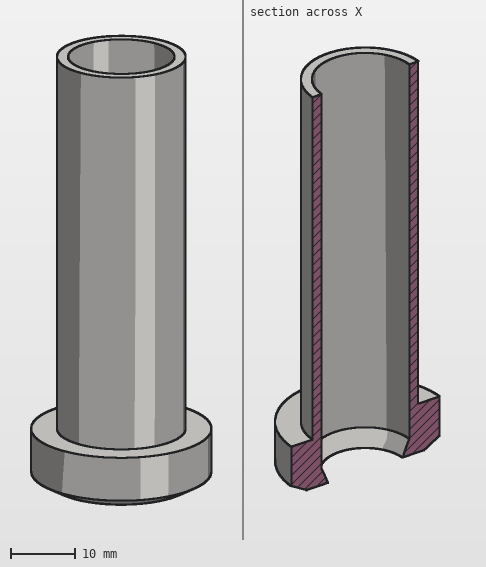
import cadquery as cq

total_length = 69.7
head_diameter = 28.0
head_height = 8.7
tube_diameter = 20.0

edge_height = 1.7
edge_width = 2.9

bore_diameter = 16.5
opening_diameter = 14.0
seat_height = 3.0

head_radius = head_diameter / 2
tube_radius = tube_diameter / 2
bore_radius = bore_diameter / 2
opening_radius = opening_diameter / 2

half_section = (
    cq.Workplane("XZ")
    .moveTo(opening_radius, 0)
    .lineTo(head_radius - edge_width, 0)
    .lineTo(head_radius, edge_height)
    .lineTo(head_radius, head_height)
    .lineTo(tube_radius, head_height)
    .lineTo(tube_radius, total_length)
    .lineTo(bore_radius, total_length)
    .lineTo(bore_radius, seat_height)
    .close()
)

result = half_section.revolve(360, (0, 0, 0), (0, 1, 0))